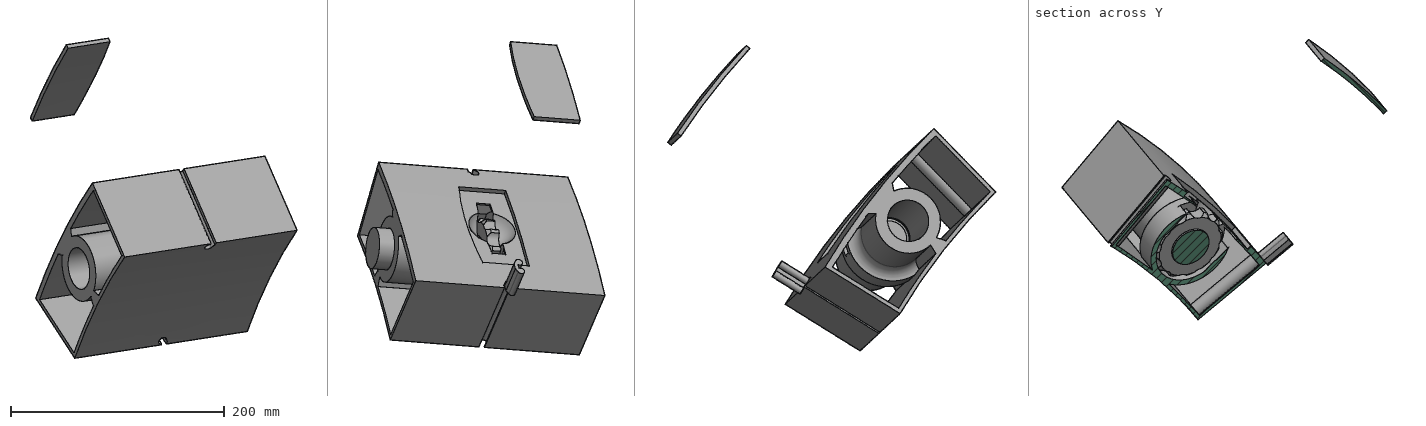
import cadquery as cq
import math

tilt = 37.4

segment_count = 25
half_angle = 180 / segment_count
ring_outer = 682.8
ring_inner = 600.0
hub_radius_on_ring = 643.0
housing_length = 187.8
outer_wall = 6.0
inner_wall = 3.8
end_wall = 3.8

hub_radius = 31.0
flange_radius = 42.3
flange_thickness = 29.0
flange_fillet = flange_radius - hub_radius
outer_web_root = 26.7
outer_web_half_widths = (13.0, 19.0)
inner_web_root = 30.7
inner_web_half_widths = (4.5, 7.8)

cover_half_height = 54.2
cover_thickness = 4.3
cover_front = -24.3
cover_shoulder = 21.5
cover_crown = 25.8
cover_gap = 0.3
recess_crown = 27.2
cover_offset = 180.0
cover_drop = 0.5

wheel_radius = 36.0
wheel_thickness = 11.5
flute_count = 12
tip_width = 3.2
flute_depth = 4.3
wheel_chamfer = 3.5
pocket_half_height = 36.2
pocket_front = -6.0
pocket_shoulder = 7.2
pocket_crown = 10.0
dish_mouth = 22.5
dish_depth = 15.0

shaft_radius = 19.5
shaft_chamfer = 3.0
shaft_stub = 14.8
bore_radius = 19.7

clip_length = 30.7
clip_drop = 0.5
rod_radius = 3.5
rod_offset = 5.5
web_outer_face = 5.2
web_inner_face = 1.5
web_slant = 30
groove_gap = 0.5
groove_inner_face = 0.3
groove_boss_radius = 7.0
groove_boss_reach = 11.5

ring_thickness = ring_outer - ring_inner
outer_face_x = hub_radius_on_ring - ring_outer
recess_floor_x = outer_face_x + cover_thickness


def along_y(radius, x, length):
    """Cylinder parallel to Y, centred on y = 0."""
    disc = cq.Workplane("XZ").center(x, 0).circle(radius)
    return disc.extrude(length / 2, both=True)


def ring_band(outer, inner, length):
    """Full ring band around the ring axis."""
    band = cq.Workplane("XZ").center(hub_radius_on_ring, 0).circle(outer).circle(inner)
    return band.extrude(length / 2, both=True)


def turn_about_ring(body, angle):
    """Move a body along the rim, positive toward +Z."""
    start = (hub_radius_on_ring, 0, 0)
    return body.rotate(start, (hub_radius_on_ring, 1, 0), angle)


def sector(outer, inner, wall, length):
    """Segment of the ring whose end faces are set in by the wall thickness."""
    axis_x = hub_radius_on_ring - wall / math.sin(math.radians(half_angle))
    reach = ring_outer + ring_thickness
    rise = reach * math.tan(math.radians(half_angle))
    wedge = (
        cq.Workplane("XZ")
        .polyline([(axis_x, 0), (axis_x - reach, -rise), (axis_x - reach, rise)])
        .close()
        .extrude(length / 2, both=True)
    )
    return ring_band(outer, inner, length).intersect(wedge)


def crowned_prism(half_height, front, shoulder, crown, x_start, depth):
    """Straight at the front and sides, arched at the back, extruded along +X."""
    return (
        cq.Workplane("YZ", origin=(x_start, 0, 0))
        .moveTo(shoulder, -half_height)
        .lineTo(front, -half_height)
        .lineTo(front, half_height)
        .lineTo(shoulder, half_height)
        .threePointArc((crown, 0), (shoulder, -half_height))
        .close()
        .extrude(depth)
    )


def clip_prism(gap, inner_y, x_start, length):
    """Two rods joined by a web that is bent back on the +Y side."""
    rod = rod_radius + gap
    outer_y = web_outer_face + gap
    slant = math.radians(web_slant)
    tip_y = rod * math.cos(slant)
    tip_z = rod_offset + rod * math.sin(slant)
    bend_z = tip_z - (outer_y - tip_y) / math.tan(slant)
    root_z = rod_offset - inner_y
    plane = cq.Workplane("YZ", origin=(x_start, 0, 0))
    web = plane.polyline([
        (tip_y, -tip_z),
        (outer_y, -bend_z),
        (outer_y, bend_z),
        (tip_y, tip_z),
        (0, rod_offset),
        (inner_y, root_z),
        (inner_y, -root_z),
        (0, -rod_offset),
    ]).close().extrude(length)
    rods = plane.pushPoints([(0, -rod_offset), (0, rod_offset)]).circle(rod).extrude(length)
    return web.union(rods)


def make_hub():
    """Hub cylinder with a flange at mid length that flares out of it."""
    half_flange = flange_thickness / 2
    half_length = housing_length / 2
    flare_end = half_flange + flange_fillet
    flare_mid = flange_fillet * (1 - math.sin(math.radians(45)))
    mid_radius = hub_radius + flare_mid
    mid_y = half_flange + flare_mid
    return (
        cq.Workplane("XY")
        .moveTo(0, -half_length)
        .lineTo(hub_radius, -half_length)
        .lineTo(hub_radius, -flare_end)
        .threePointArc((mid_radius, -mid_y), (flange_radius, -half_flange))
        .lineTo(flange_radius, half_flange)
        .threePointArc((mid_radius, mid_y), (hub_radius, flare_end))
        .lineTo(hub_radius, half_length)
        .lineTo(0, half_length)
        .close()
        .revolve(360, (0, 0, 0), (0, 1, 0))
    )


def make_web(root_x, wall_x, half_widths):
    """Web from the hub axis into a curved wall, widening between the hub and the wall."""
    root, wall = half_widths
    buried_x = wall_x + math.copysign(inner_wall / 2, wall_x)
    upper = [(0, root), (root_x, root), (wall_x, wall), (buried_x, wall)]
    lower = [(x, -z) for x, z in reversed(upper)]
    return cq.Workplane("XZ").polyline(upper + lower).close().extrude(housing_length / 2, both=True)


def make_groove_boss(end):
    """Rounded rib along the inside of an end wall, around the clip groove."""
    z = -end * (groove_boss_reach - groove_boss_radius)
    boss = (
        cq.Workplane("YZ", origin=(outer_face_x, 0, 0))
        .center(0, z)
        .circle(groove_boss_radius)
        .extrude(ring_thickness)
    )
    return turn_about_ring(boss, end * half_angle)


def make_groove(end):
    """Clip groove through the whole depth of an end wall."""
    groove = clip_prism(groove_gap, groove_inner_face, outer_face_x - ring_thickness, 3 * ring_thickness)
    return turn_about_ring(groove, end * half_angle)


def make_recess():
    """Recess in the outer face that takes the cover."""
    opening = crowned_prism(
        cover_half_height + cover_gap,
        cover_front - cover_gap,
        cover_shoulder + cover_gap,
        recess_crown,
        outer_face_x - cover_thickness,
        ring_thickness / 2,
    )
    skin = ring_band(ring_outer + cover_thickness, ring_outer - cover_thickness, housing_length)
    return opening.intersect(skin)


def make_wheel_pocket():
    """Slot for the wheel, open to the recess and round at its inner end."""
    depth = ring_thickness
    slot = crowned_prism(
        pocket_half_height, pocket_front, pocket_shoulder, pocket_crown, -depth, depth + pocket_half_height
    )
    round_end = along_y(pocket_half_height, 0, housing_length)
    throat = cq.Workplane("XY").box(depth, housing_length, 2 * pocket_half_height)
    return slot.intersect(round_end.union(throat.translate((-depth / 2, 0, 0))))


def make_dish():
    """Spherical finger dish in the recess floor."""
    radius = (dish_mouth**2 + dish_depth**2) / (2 * dish_depth)
    return cq.Workplane("XY").sphere(radius).translate((recess_floor_x + dish_depth - radius, 0, 0))


def make_housing():
    shell = sector(ring_outer, ring_inner, 0, housing_length)
    cavity = sector(ring_outer - outer_wall, ring_inner + inner_wall, end_wall, housing_length)
    outer_cavity_x = outer_face_x + outer_wall
    inner_cavity_x = hub_radius_on_ring - ring_inner - inner_wall
    core = make_hub()
    core = core.union(make_web(-outer_web_root, outer_cavity_x, outer_web_half_widths))
    core = core.union(make_web(inner_web_root, inner_cavity_x, inner_web_half_widths))
    for end in (-1, 1):
        core = core.union(make_groove_boss(end))
    body = shell.cut(cavity.cut(core))
    body = body.cut(make_recess()).cut(make_dish()).cut(make_wheel_pocket())
    body = body.cut(along_y(bore_radius, 0, housing_length))
    for end in (-1, 1):
        body = body.cut(make_groove(end))
    return body


def make_cover():
    """Curved cover plate, held clear of the housing on its outer side."""
    outline = crowned_prism(
        cover_half_height, cover_front, cover_shoulder, cover_crown,
        outer_face_x - cover_thickness, ring_thickness / 2,
    )
    skin = ring_band(ring_outer, ring_outer - cover_thickness, housing_length)
    return outline.intersect(skin).translate((-cover_offset, 0, -cover_drop))


def make_clip():
    """Clip in line with the lower end groove, just outside the housing."""
    clip = clip_prism(0, web_inner_face, outer_face_x - clip_length, clip_length)
    return turn_about_ring(clip.translate((0, 0, -clip_drop)), -half_angle)


def make_wheel():
    """Fluted thumb wheel, chamfered at the +Y rim only."""
    wheel = along_y(wheel_radius, 0, wheel_thickness).faces(">Y").edges().chamfer(wheel_chamfer)
    half_chord = wheel_radius * math.sin(math.pi / flute_count) - tip_width / 2
    flute_radius = (half_chord**2 + flute_depth**2) / (2 * flute_depth)
    flute = along_y(flute_radius, wheel_radius - flute_depth + flute_radius, 2 * wheel_thickness)
    for index in range(flute_count):
        angle = (index + 0.5) * 360 / flute_count - tilt
        wheel = wheel.cut(flute.rotate((0, 0, 0), (0, 1, 0), angle))
    return wheel.cut(along_y(shaft_radius, 0, wheel_thickness))


def make_shaft():
    """Shaft from the front of the wheel out through the +Y end of the housing."""
    start = -wheel_thickness / 2
    length = housing_length / 2 + shaft_stub - start
    shaft = cq.Workplane("XZ", origin=(0, start, 0)).circle(shaft_radius).extrude(-length)
    return shaft.faces("<Y").edges().chamfer(shaft_chamfer)


def tilted(body):
    return body.rotate((0, 0, 0), (0, 1, 0), tilt)


housing = tilted(make_housing())
cover = tilted(make_cover())
clip = tilted(make_clip())
wheel = tilted(make_wheel())
shaft = tilted(make_shaft())

result = cq.Compound.makeCompound([housing.val(), cover.val(), clip.val(), wheel.val(), shaft.val()])